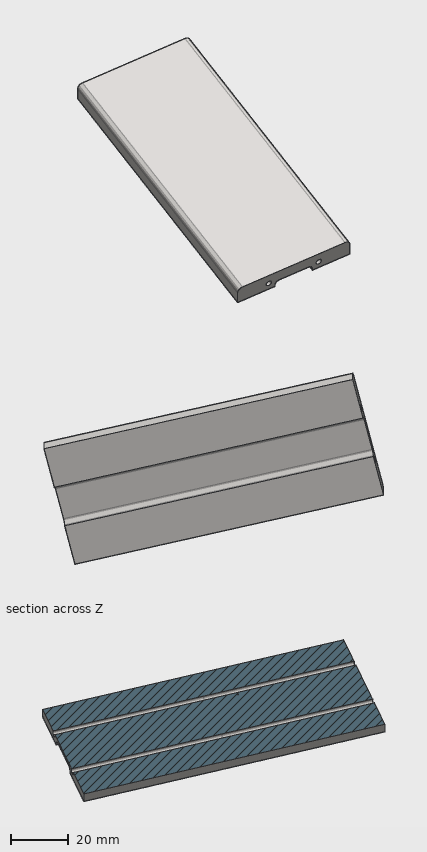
import cadquery as cq

length = 110.0
width = 45.0
height = 7.0
top_edge_radius = 2.0

channel_width = 15.0
channel_depth = 2.4
channel_corner_radius = 1.6

bore_diameter = 2.1
bore_spacing = 20.0
bore_height = 3.0


def plate():
    """Flat bar resting on Z = 0 with its two long top edges rounded."""
    bar = cq.Workplane("XY").box(length, width, height, centered=(True, True, False))
    return bar.edges("|X and >Z").fillet(top_edge_radius)


def channel():
    """Full-length underside channel with rounded upper corners."""
    cutter = cq.Workplane("XY").box(length, channel_width, channel_depth, centered=(True, True, False))
    return cutter.edges("|X and >Z").fillet(channel_corner_radius)


def bores():
    """Two round holes through the whole length, one on each side of the channel."""
    centers = [(side * bore_spacing / 2, bore_height) for side in (-1, 1)]
    profile = cq.Workplane("YZ").pushPoints(centers).circle(bore_diameter / 2)
    return profile.extrude(length / 2, both=True)


result = plate().cut(channel()).cut(bores())